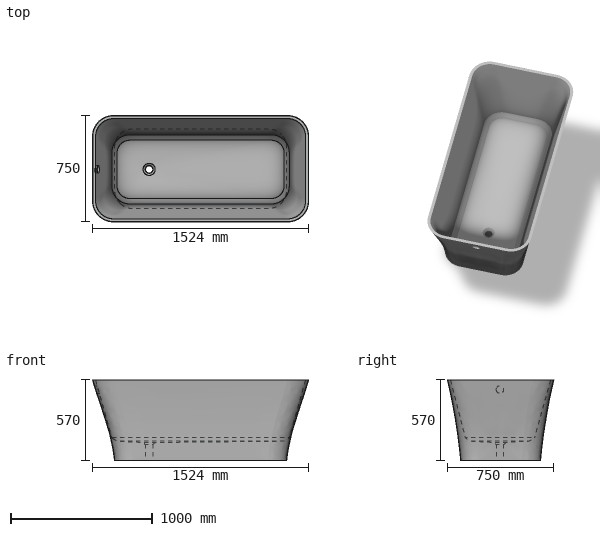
import cadquery as cq

rim_length = 1524.0
rim_width = 750.0
height = 570.0
rim_thickness = 21.0

shell_sections = [
    (0.0, 1213.0, 562.0, 130.0),
    (122.0, 1250.0, 588.0, 134.0),
    (328.0, 1365.0, 649.0, 140.0),
    (height, rim_length, rim_width, 148.0),
]

basin_rim_radius = 126.0
ledge_height = 162.0
ledge_length = 1251.0
ledge_width = 488.0
ledge_radius = 126.0
floor_height = 137.0
floor_length = 1180.0
floor_width = 411.0
floor_radius = 91.0
floor_center_y = -5.0

drain_x = -363.0
drain_diameter = 52.0
drain_recess_diameter = 85.0
drain_fall = 9.0
drain_recess_depth = 15.0

overflow_diameter = 53.0
overflow_height = 501.0


def rounded_rectangle(z, length, width, radius, center_y=0.0):
    """Closed horizontal wire with rounded corners at height z."""
    block = cq.Workplane("XY", origin=(0, center_y, z)).rect(length, width).extrude(height)
    return block.edges("|Z").fillet(radius).faces("<Z").wires().val()


def loft(wires, ruled):
    return cq.Workplane(obj=cq.Solid.makeLoft(wires, ruled))


def make_shell():
    return loft([rounded_rectangle(*section) for section in shell_sections], ruled=False)


def make_floor_outline():
    return rounded_rectangle(floor_height, floor_length, floor_width, floor_radius, floor_center_y)


def make_basin():
    inner_length = rim_length - 2 * rim_thickness
    inner_width = rim_width - 2 * rim_thickness
    rim = rounded_rectangle(height, inner_length, inner_width, basin_rim_radius)
    ledge = rounded_rectangle(ledge_height, ledge_length, ledge_width, ledge_radius, floor_center_y)
    return loft([make_floor_outline(), ledge, rim], ruled=True)


def make_floor_fall():
    """Shallow funnel that drains the floor towards the drain recess."""
    recess_edge = cq.Wire.makeCircle(
        drain_recess_diameter / 2,
        cq.Vector(drain_x, floor_center_y, floor_height - drain_fall),
        cq.Vector(0, 0, 1),
    )
    return loft([recess_edge, make_floor_outline()], ruled=True)


def make_drain():
    hole = cq.Workplane("XY").center(drain_x, floor_center_y).circle(drain_diameter / 2).extrude(floor_height)
    recess_bottom = floor_height - drain_fall - drain_recess_depth
    recess = (
        cq.Workplane("XY", origin=(drain_x, floor_center_y, recess_bottom))
        .circle(drain_diameter / 2)
        .workplane(offset=drain_recess_depth)
        .circle(drain_recess_diameter / 2)
        .loft()
    )
    return hole.union(recess)


def make_overflow():
    return (
        cq.Workplane("YZ", origin=(-rim_length / 2, floor_center_y, overflow_height))
        .circle(overflow_diameter / 2)
        .extrude(rim_length / 4)
    )


result = make_shell()
for cutter in (make_basin(), make_floor_fall(), make_drain(), make_overflow()):
    result = result.cut(cutter)